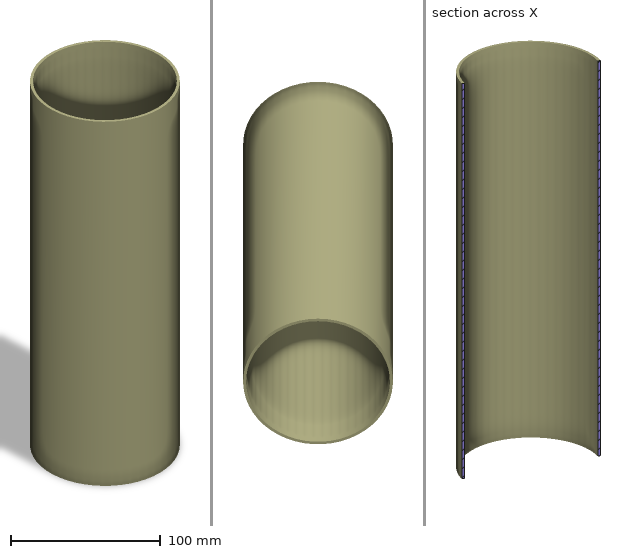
import cadquery as cq

length = 290
outer_diameter = 100.0
wall_thickness = 2.0
inner_diameter = outer_diameter - 2 * wall_thickness

tube_profile = cq.Workplane("XY").circle(outer_diameter / 2).circle(inner_diameter / 2)
result = tube_profile.extrude(length)